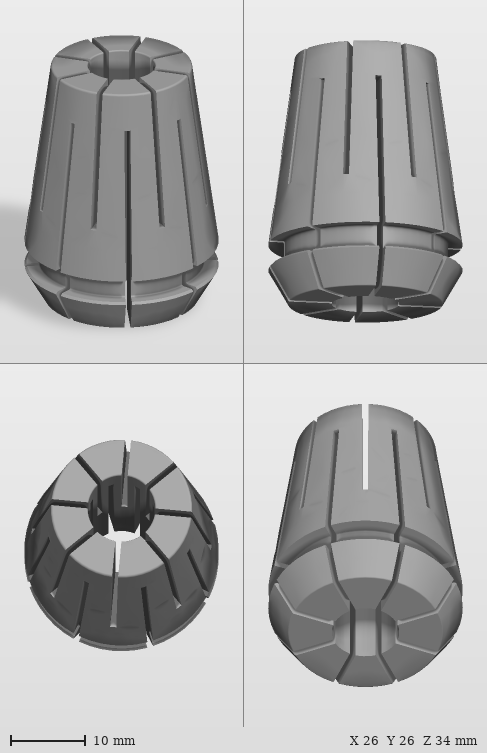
import cadquery as cq
import math

length = 34.0
outer_radius = 13.0
bore_radius = 9.0 / 2

nose_half_angle = math.radians(30)
rim_height = 4.62
rim_chamfer = 0.3
nose_bottom_radius = outer_radius - rim_height * math.tan(nose_half_angle)

groove_radius = 11.0
groove_bottom = rim_height + rim_chamfer
groove_top = 8.1

top_radius = 9.42

edge_round = 0.2
top_edge_round = 0.3

slit_width = 0.8
slits_per_end = 8
slit_pitch = 360 / slits_per_end
lower_slit_end = 29.0
upper_slit_end = 14.95
blade_length = 2 * outer_radius + 1.35


def revolved_body():
    """Half profile in the XZ plane, turned around Z."""
    return (
        cq.Workplane("XZ")
        .moveTo(bore_radius, 0)
        .lineTo(nose_bottom_radius, 0)
        .lineTo(outer_radius, rim_height)
        .lineTo(outer_radius - rim_chamfer, groove_bottom)
        .lineTo(groove_radius, groove_bottom)
        .lineTo(groove_radius, groove_top)
        .lineTo(outer_radius, groove_top)
        .lineTo(top_radius, length)
        .lineTo(bore_radius, length)
        .close()
        .revolve(360, (0, 0, 0), (0, 1, 0))
    )


def round_circle(body, radius, height, fillet_radius):
    """Round the circular edge that has the given radius and height."""
    margin = 0.05

    def is_wanted(edge):
        same_radius = abs(edge.radius() - radius) < margin
        return same_radius and abs(edge.Center().z - height) < margin

    return body.edges("%CIRCLE").filter(is_wanted).fillet(fillet_radius)


def slit_cutters(bottom, top, first_angle):
    """Thin blades across the whole diameter; each one cuts two opposite slits."""
    blade = (
        cq.Workplane("XY")
        .workplane(offset=bottom)
        .rect(blade_length, slit_width)
        .extrude(top - bottom)
    )
    blades = blade.rotate((0, 0, 0), (0, 0, 1), first_angle)
    for index in range(1, slits_per_end // 2):
        angle = first_angle + index * slit_pitch
        blades = blades.union(blade.rotate((0, 0, 0), (0, 0, 1), angle))
    return blades


rounded_circles = [
    (nose_bottom_radius, 0, edge_round),
    (groove_radius, groove_bottom, edge_round),
    (groove_radius, groove_top, edge_round),
    (top_radius, length, top_edge_round),
    (bore_radius, length, edge_round),
]

result = revolved_body()
for circle_radius, circle_height, fillet_radius in rounded_circles:
    result = round_circle(result, circle_radius, circle_height, fillet_radius)

lower_slits = slit_cutters(0, lower_slit_end, 0)
upper_slits = slit_cutters(upper_slit_end, length, slit_pitch / 2)
result = result.cut(lower_slits).cut(upper_slits)